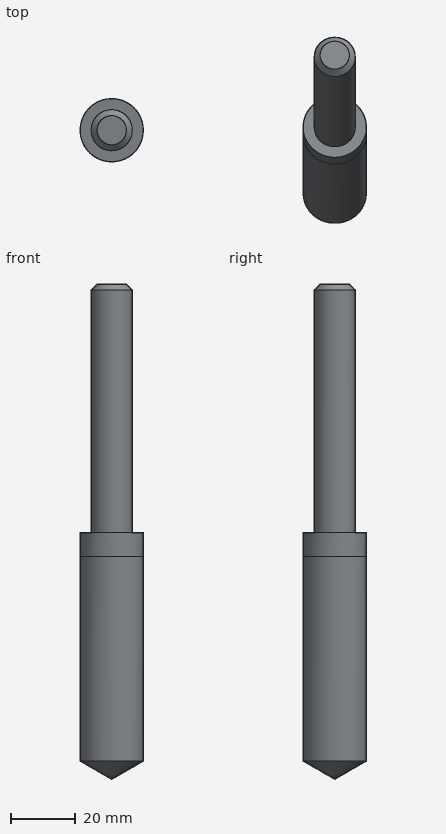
import cadquery as cq
import math

total_length = 152.4
body_diameter = 19.5
shank_diameter = 12.6
shank_length = 76.5
collar_height = 7.3
point_angle = 120.0
chamfer_size = 1.8

body_radius = body_diameter / 2
shank_radius = shank_diameter / 2
point_height = body_radius / math.tan(math.radians(point_angle / 2))
top_z = total_length / 2
tip_z = -total_length / 2
collar_top_z = top_z - shank_length
seam_z = collar_top_z - collar_height


def revolve_profile(points):
    """Turn a closed radius-height outline about the Z axis."""
    return cq.Workplane("XZ").polyline(points).close().revolve(360, (0, 0), (0, 1))


def make_shank():
    """Chamfered shank with the collar at its lower end."""
    return revolve_profile([
        (0, seam_z),
        (body_radius, seam_z),
        (body_radius, collar_top_z),
        (shank_radius, collar_top_z),
        (shank_radius, top_z - chamfer_size),
        (shank_radius - chamfer_size, top_z),
        (0, top_z),
    ])


def make_pointed_head():
    """Cylindrical head below the collar, ending in a conical point."""
    return revolve_profile([
        (0, tip_z),
        (body_radius, tip_z + point_height),
        (body_radius, seam_z),
        (0, seam_z),
    ])


shank = make_shank()
pointed_head = make_pointed_head()

result = cq.Compound.makeCompound([shank.val(), pointed_head.val()])